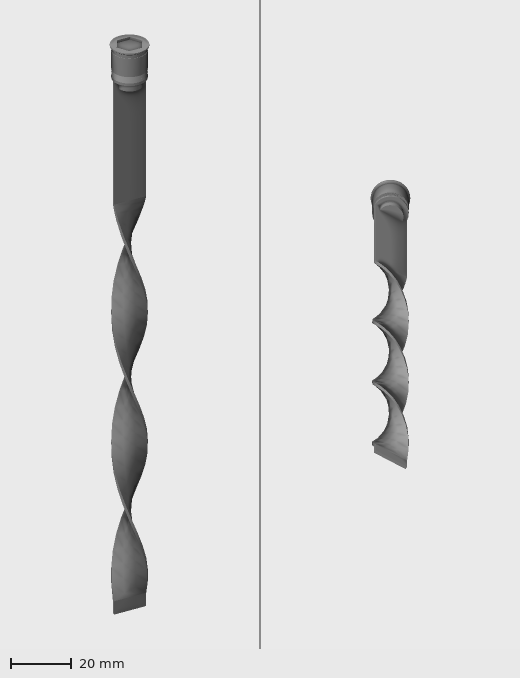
import cadquery as cq
import math

flange_diameter = 13.0
flange_rim = 0.5
flange_height = 1.0
neck_diameter = 11.7
neck_bottom = 2.2
cap_diameter = 12.0
cap_height = 12.5
ridge_count = 4
ridge_pitch = 0.6
ridge_depth = 0.2
ridges_top = 9.1

head_across_flats = 9.5
head_height = 2.0
socket_across_flats = 8.3
socket_depth = 1.0
stem_diameter = 8.5
stem_below_cap = 3.0
collar_diameter = 8.6
collar_height = 0.5

blade_width = 12.0
blade_thickness = 1.0
upper_straight_length = 46.0
twist_length = 149.0
lower_straight_length = 5.0
half_turns = 3
twist_angle = -180.0 * half_turns


def make_hexagon(across_flats, depth):
    """Hexagonal prism below Z = 0, with corners on the Y axis."""
    across_corners = across_flats / math.cos(math.pi / 6)
    return cq.Workplane("XY").transformed(rotate=(0, 0, 30)).polygon(6, across_corners).extrude(-depth)


def make_plug_blank():
    """Hexagonal head and round stem, without the collar, the socket and the blade slot."""
    stem = cq.Workplane("XY").circle(stem_diameter / 2).extrude(-cap_height - stem_below_cap)
    return make_hexagon(head_across_flats, head_height).union(stem)


def make_cap():
    """Sleeve turned about Z, with saw-tooth ridges near its lower end, bored to fit the plug."""
    radius = cap_diameter / 2
    profile = (
        cq.Workplane("XZ")
        .lineTo(flange_diameter / 2, 0)
        .lineTo(flange_diameter / 2, -flange_rim)
        .lineTo(neck_diameter / 2, -flange_height)
        .lineTo(neck_diameter / 2, -neck_bottom)
        .lineTo(radius, -neck_bottom)
        .lineTo(radius, -ridges_top)
    )
    for ridge in range(ridge_count):
        ridge_top = -ridges_top - ridge * ridge_pitch
        profile = profile.lineTo(radius - ridge_depth, ridge_top).lineTo(radius, ridge_top - ridge_pitch)
    profile = profile.lineTo(radius, -cap_height).lineTo(0, -cap_height).close()
    return profile.revolve(360, (0, 0), (0, 1)).cut(make_plug_blank())


def make_straight(top, length):
    """Flat length of strip, lying in the YZ plane and hanging down from the given height."""
    return cq.Workplane("XY").workplane(offset=top).rect(blade_thickness, blade_width).extrude(-length)


def make_blade():
    """Strip hanging from the underside of the cap: straight, then twisted, then straight."""
    twist_top = -cap_height - upper_straight_length
    twist_bottom = twist_top - twist_length
    upper = make_straight(-cap_height, upper_straight_length)
    twisted = (
        cq.Workplane("XY")
        .workplane(offset=twist_bottom)
        .rect(blade_thickness, blade_width)
        .twistExtrude(twist_length, twist_angle)
    )
    lower = make_straight(twist_bottom, lower_straight_length)
    return upper.union(twisted).union(lower)


def make_plug(blade):
    """Plug with its collar under the cap, a hexagonal socket and a slot that fits the blade."""
    under_cap = cq.Workplane("XY").workplane(offset=-cap_height)
    collar = under_cap.circle(collar_diameter / 2).extrude(-collar_height)
    socket = make_hexagon(socket_across_flats, socket_depth)
    return make_plug_blank().union(collar).cut(socket).cut(blade)


cap = make_cap()
blade = make_blade()
plug = make_plug(blade)

result = cq.Compound.makeCompound([cap.solids().val(), plug.solids().val(), blade.solids().val()])